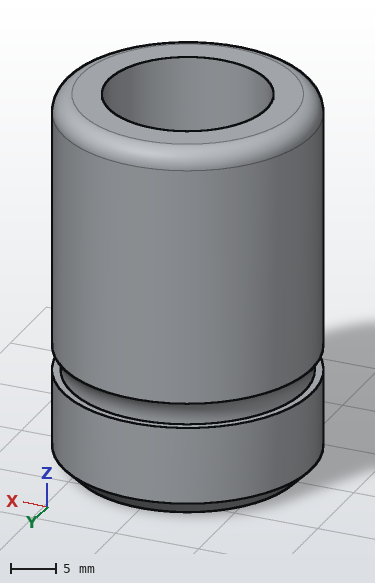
import cadquery as cq

height = 45.0
outer_radius = 30.0 / 2
bore_radius = 19.0 / 2

top_fillet = 2.2
bottom_chamfer = 2.02

groove_bottom = 11.3
groove_top = 14.25
groove_depth = 0.95
groove_arc_radius = 4.0


def bushing_body():
    """Tube with a rounded top rim and a chamfered bottom rim."""
    body = cq.Workplane("XY").circle(outer_radius).extrude(height)
    body = body.faces(">Z").edges().fillet(top_fillet)
    body = body.faces("<Z").edges().chamfer(bottom_chamfer)
    bore = cq.Workplane("XY").circle(bore_radius).extrude(height)
    return body.cut(bore)


def groove_cutter():
    """Ring that cuts the flared groove around the outside."""
    floor_radius = outer_radius - groove_depth
    return (
        cq.Workplane("XZ")
        .moveTo(outer_radius, groove_bottom)
        .lineTo(floor_radius, groove_bottom)
        .radiusArc((outer_radius, groove_top), groove_arc_radius)
        .close()
        .revolve(360, (0, 0, 0), (0, 1, 0))
    )


result = bushing_body().cut(groove_cutter())